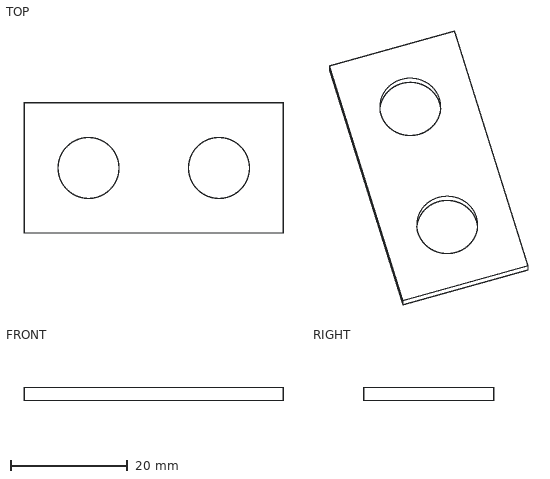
import cadquery as cq

length = 44.45
width = 22.35
thickness = 2.25

hole_diameter = 10.41
hole_spacing = 22.35


def make_plate():
    return cq.Workplane("XY").box(length, width, thickness)


def drill_holes(plate):
    hole_centres = [(-hole_spacing / 2, 0), (hole_spacing / 2, 0)]
    return plate.faces(">Z").workplane().pushPoints(hole_centres).hole(hole_diameter)


result = drill_holes(make_plate())